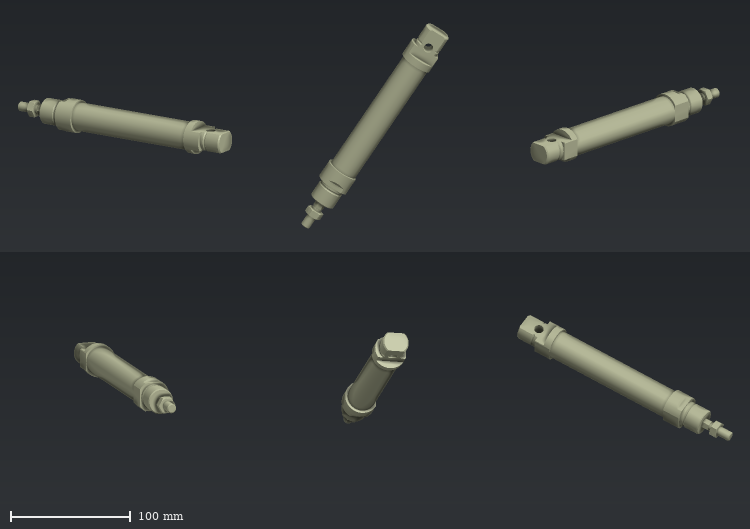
import cadquery as cq
import math

rod_diameter = 8.0
rod_tip_diameter = 6.5
rod_neck_diameter = 7.0
thread_diameter = 22.0
thread_groove_diameter = 20.3
barrel_diameter = 24.0
cap_diameter = 28.0
pivot_hole_diameter = 8.0

nut_start = 11.3
nut_end = 17.0
neck_start = 19.0
neck_end = 19.9
front_thread_start = 26.0
front_groove_start = 39.2
front_collar_start = 43.9
front_flat_end = 48.0
front_collar_end = 59.2
rear_collar_start = 171.8
lug_flat_start = 178.0
rear_collar_end = 186.5
pivot_hole_x = 190.0
rear_groove_start = 189.2
overall_length = 205.0

nut_across_flats = 13.0
nut_face_diameter = 12.7
nut_chamfer_angle = 20
rod_hex_across_flats = 8.0
lug_thickness = 16.0
groove_width = 2.3
groove_bottom_width = 0.6
front_thread_chamfer = 0.8
rear_thread_chamfer = 1.0
side_flat_y = barrel_diameter / 2
wrench_flat_z = barrel_diameter / 2


def cylinder(diameter, start, end):
    """Solid cylinder on the X axis between two stations."""
    return cq.Workplane("YZ", origin=(start, 0, 0)).circle(diameter / 2).extrude(end - start)


def hexagon(across_flats, start, end):
    """Hexagonal bar on the X axis with two flats facing up and down."""
    corner_diameter = across_flats / math.cos(math.pi / 6)
    return cq.Workplane("YZ", origin=(start, 0, 0)).polygon(6, corner_diameter).extrude(end - start)


def revolved(profile):
    """Solid of revolution about X from (x, radius) points."""
    return (
        cq.Workplane("XY").polyline(profile).close()
        .revolve(360, (0, 0, 0), (1, 0, 0))
    )


def limits_box(start, end, y_min, y_max, z_min, z_max):
    """Axis-aligned box given by its limits."""
    return (
        cq.Workplane("XY", origin=(start, y_min, z_min))
        .box(end - start, y_max - y_min, z_max - z_min, centered=False)
    )


def thread_groove(start):
    """Ring cutter for a groove with sloping sides in a mounting thread."""
    outer = thread_diameter / 2
    bottom = thread_groove_diameter / 2
    slope = (groove_width - groove_bottom_width) / 2
    end = start + groove_width
    return revolved([(start, outer), (start + slope, bottom), (end - slope, bottom), (end, outer)])


def cut_side_flat(cap):
    """Trim the +Y side of a cap level with the barrel."""
    reach = cap_diameter
    return cap.cut(limits_box(0, overall_length, side_flat_y, reach, -reach, reach))


def make_rod():
    """Threaded rod with a neck, a hexagon and a round shank inside the front cap."""
    tip_chamfer = (rod_diameter - rod_tip_diameter) / 2
    threaded = cylinder(rod_diameter, 0, neck_start).faces("<X").chamfer(tip_chamfer)
    neck = cylinder(rod_neck_diameter, neck_start, neck_end)
    wrench_hexagon = hexagon(rod_hex_across_flats, neck_end, front_thread_start)
    shank = cylinder(rod_diameter, front_thread_start, front_collar_end)
    return threaded.union(neck).union(wrench_hexagon).union(shank)


def make_nut():
    """Hexagonal lock nut with a conical chamfer on both faces."""
    face_radius = nut_face_diameter / 2
    corner_radius = nut_across_flats / 2 / math.cos(math.pi / 6)
    setback = (corner_radius - face_radius) * math.tan(math.radians(nut_chamfer_angle))
    chamfer_limit = revolved([
        (nut_start, 0),
        (nut_start, face_radius),
        (nut_start + setback, corner_radius),
        (nut_end - setback, corner_radius),
        (nut_end, face_radius),
        (nut_end, 0),
    ])
    nut = hexagon(nut_across_flats, nut_start, nut_end).intersect(chamfer_limit)
    return nut.cut(cylinder(rod_diameter, nut_start, nut_end))


def make_front_cap():
    """Front cap: grooved mounting thread, collar with two wrench flats, rod bore."""
    thread = cylinder(thread_diameter, front_thread_start, front_collar_start)
    thread = thread.faces("<X").chamfer(front_thread_chamfer).cut(thread_groove(front_groove_start))
    collar = cut_side_flat(cylinder(cap_diameter, front_collar_start, front_collar_end))
    flat_depth = cap_diameter / 2 - wrench_flat_z
    wrench_flat = (
        cq.Workplane("XZ")
        .moveTo(front_collar_start, wrench_flat_z)
        .lineTo(front_flat_end, wrench_flat_z)
        .lineTo(front_flat_end + flat_depth, cap_diameter / 2)
        .lineTo(front_collar_start, cap_diameter / 2)
        .close()
        .extrude(cap_diameter / 2, both=True)
    )
    collar = collar.cut(wrench_flat).cut(wrench_flat.mirror("XY"))
    return thread.union(collar).cut(cylinder(rod_diameter, front_thread_start, front_collar_end))


def make_barrel():
    """Plain cylinder barrel between the two caps."""
    return cylinder(barrel_diameter, front_collar_end, rear_collar_start)


def make_rear_cap():
    """Rear cap: collar and grooved thread milled to a flat lug with a pivot hole."""
    collar = cut_side_flat(cylinder(cap_diameter, rear_collar_start, rear_collar_end))
    thread = cylinder(thread_diameter, rear_collar_end, overall_length)
    thread = thread.faces(">X").chamfer(rear_thread_chamfer).cut(thread_groove(rear_groove_start))
    cap = collar.union(thread)
    reach = cap_diameter
    lug_side = limits_box(lug_flat_start, overall_length, -reach, reach, lug_thickness / 2, reach)
    cap = cap.cut(lug_side).cut(lug_side.mirror("XY"))
    pivot_hole = (
        cq.Workplane("XY").center(pivot_hole_x, 0)
        .circle(pivot_hole_diameter / 2).extrude(lug_thickness, both=True)
    )
    return cap.cut(pivot_hole)


rod = make_rod()
nut = make_nut()
front_cap = make_front_cap()
barrel = make_barrel()
rear_cap = make_rear_cap()

result = cq.Compound.makeCompound([
    rod.val(),
    nut.val(),
    front_cap.val(),
    barrel.val(),
    rear_cap.val(),
])